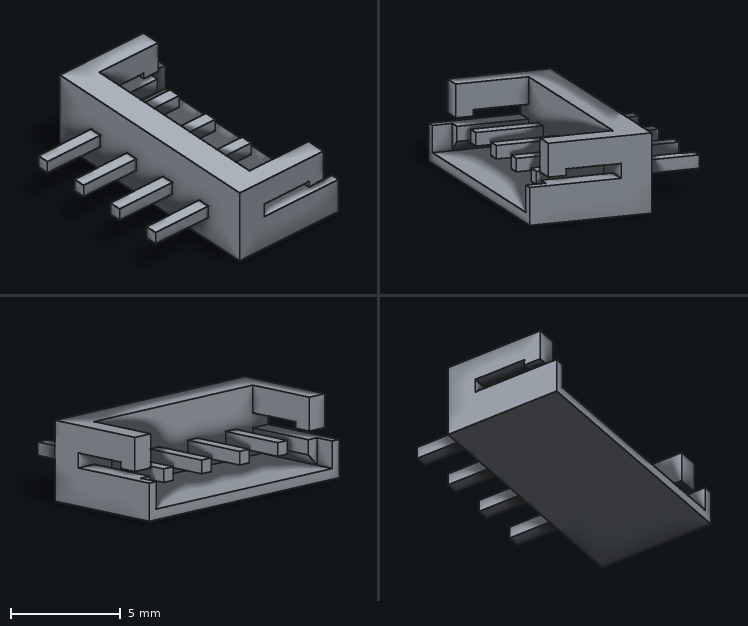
import cadquery as cq

width = 12.5
depth = 6.0
height = 3.8
front_wall = 1.5

side_wall = 0.46
side_wall_height = 1.8
floor_thickness = 0.51

ledge_end = 5.02

arm_width = 1.04
arm_end = 5.09
arm_underside = 2.5
catch_length = 0.89
catch_drop = 0.3

pin_count = 4
pin_pitch = 2.5
pin_size = 0.64
pin_center_height = 1.6
pin_front_reach = 3.2
pin_tip = 4.8


def block(x_range, y_range, z_range):
    """Return a box filling the given (start, end) ranges along X, Y and Z."""
    (x0, x1), (y0, y1), (z0, z1) = x_range, y_range, z_range
    return cq.Workplane("XY").box(x1 - x0, y1 - y0, z1 - z0, centered=False).translate((x0, y0, z0))


def make_pin(x_center):
    """Return one straight square pin centered at x_center."""
    half = pin_size / 2
    return block(
        (x_center - half, x_center + half),
        (-pin_front_reach, pin_tip),
        (pin_center_height - half, pin_center_height + half),
    )


def make_base():
    """Return the front wall, floor and low side walls."""
    front = block((-width / 2, width / 2), (0, front_wall), (0, height))
    tray = block((-width / 2, width / 2), (0, depth), (0, side_wall_height))
    pocket_half_width = width / 2 - side_wall
    pocket = block(
        (-pocket_half_width, pocket_half_width),
        (front_wall, depth),
        (floor_thickness, side_wall_height),
    )
    return front.union(tray).cut(pocket)


def make_arm():
    """Return the -X arm, with the catch hanging from its free end."""
    x_range = (-width / 2, -width / 2 + arm_width)
    beam = block(x_range, (0, arm_end), (arm_underside, height))
    catch = block(x_range, (arm_end - catch_length, arm_end), (arm_underside - catch_drop, height))
    return beam.union(catch)


def make_ledge():
    """Return the ledge on the inside of the -X side wall, with its sloped underside."""
    wall_face = -width / 2 + side_wall
    ledge_face = -width / 2 + arm_width
    slope_top = floor_thickness + (ledge_face - wall_face)
    profile = [
        (-width / 2, floor_thickness),
        (wall_face, floor_thickness),
        (ledge_face, slope_top),
        (ledge_face, side_wall_height),
        (-width / 2, side_wall_height),
    ]
    return cq.Workplane("XZ").polyline(profile).close().extrude(-ledge_end)


def make_housing(pins):
    """Return the housing with a matching hole for every pin."""
    body = make_base()
    for side_part in (make_arm(), make_ledge()):
        body = body.union(side_part).union(side_part.mirror("YZ"))
    for pin in pins:
        body = body.cut(pin)
    return body


first_pin_x = -pin_pitch * (pin_count - 1) / 2
pins = [make_pin(first_pin_x + i * pin_pitch) for i in range(pin_count)]
housing = make_housing(pins)

result = cq.Compound.makeCompound([housing.val(), *[pin.val() for pin in pins]])